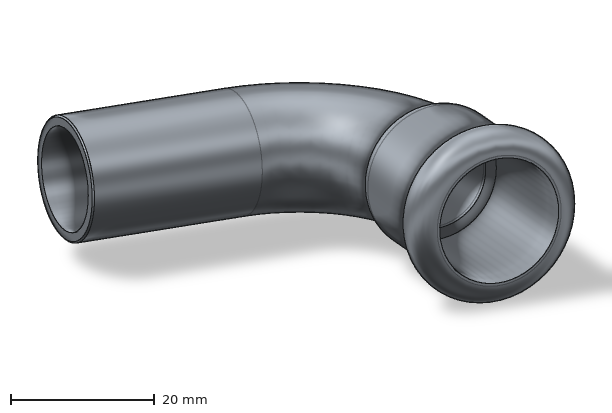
import cadquery as cq
import math


tube_radius = 18.0 / 2
tube_bore_radius = 15.0 / 2
bend_radius = 20.9
spigot_length = 26.1
spigot_edge_chamfer = 0.25

socket_radius = 21.3 / 2
socket_bore_radius = 18.3 / 2
shoulder_start_radius = 8.85
shoulder_start_x = 18.5
shoulder_length = 3.05
mouth_x = 41.6

bead_outer_radius = 25.75 / 2
bead_width = 6.65

bead_round = bead_width / 2
bead_center_radius = bead_outer_radius - bead_round
bead_center_x = mouth_x - bead_round
socket_start_x = shoulder_start_x + shoulder_length


def straight_spigot(radius):
    """Cylinder from the start of the bend to the free end of the spigot."""
    return (
        cq.Workplane("XZ", origin=(0, -bend_radius, 0))
        .circle(radius)
        .extrude(spigot_length)
    )


def quarter_bend(radius):
    """Quarter torus from the spigot (along Y) to the socket (along X)."""
    return (
        cq.Workplane("XZ", origin=(0, -bend_radius, 0))
        .circle(radius)
        .revolve(90, (bend_radius, 0, 0), (bend_radius, -1, 0))
    )


def cylinder_along_x(radius, start_x, end_x):
    return (
        cq.Workplane("YZ", origin=(start_x, 0, 0))
        .circle(radius)
        .extrude(end_x - start_x)
    )


def socket_body():
    """Revolved socket: rounded shoulder, cylinder and half-round bead."""
    shoulder_rise = socket_radius - shoulder_start_radius
    shoulder_arc = (shoulder_length**2 + shoulder_rise**2) / (2 * shoulder_rise)
    half_angle = math.asin(shoulder_length / shoulder_arc) / 2
    shoulder_middle = (
        socket_start_x - shoulder_arc * math.sin(half_angle),
        socket_radius - shoulder_arc * (1 - math.cos(half_angle)),
    )
    bead_reach = math.sqrt(bead_round**2 - (socket_radius - bead_center_radius) ** 2)
    profile = (
        cq.Workplane("XY")
        .moveTo(shoulder_start_x, 0)
        .lineTo(shoulder_start_x, shoulder_start_radius)
        .threePointArc(shoulder_middle, (socket_start_x, socket_radius))
        .lineTo(bead_center_x - bead_reach, socket_radius)
        .threePointArc((bead_center_x, bead_outer_radius), (mouth_x, bead_center_radius))
        .lineTo(mouth_x, 0)
        .close()
    )
    return profile.revolve(360, (0, 0, 0), (1, 0, 0))


spigot = straight_spigot(tube_radius).faces("<Y").chamfer(spigot_edge_chamfer)
outside = spigot.union(quarter_bend(tube_radius)).union(socket_body())

tube_bore = (
    straight_spigot(tube_bore_radius)
    .union(quarter_bend(tube_bore_radius))
    .union(cylinder_along_x(tube_bore_radius, bend_radius, socket_start_x))
)
socket_bore = cylinder_along_x(socket_bore_radius, socket_start_x, mouth_x)

result = outside.cut(tube_bore).cut(socket_bore)